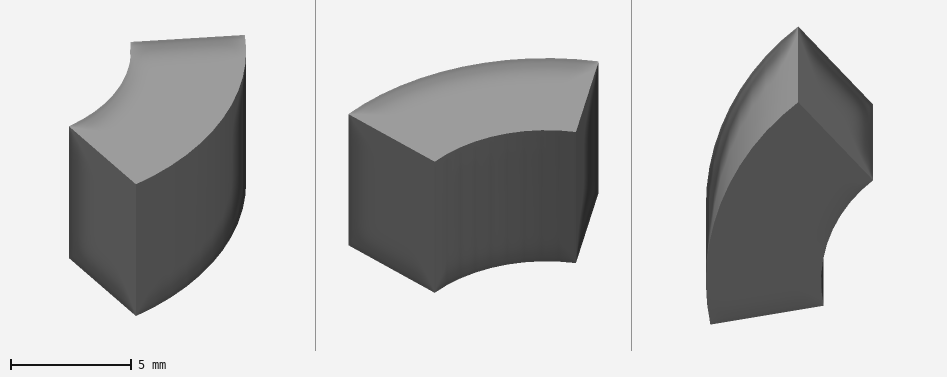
import cadquery as cq
import math

outer_radius = 11.0
inner_radius = 6.2
height = 7.0
segment_angle = 60.0


def ring_point(radius, angle):
    """Point on a circle about the ring axis, angle in degrees from +X."""
    return (
        radius * math.cos(math.radians(angle)),
        radius * math.sin(math.radians(angle)),
    )


half_angle = segment_angle / 2

result = (
    cq.Workplane("XY")
    .moveTo(*ring_point(inner_radius, -half_angle))
    .lineTo(*ring_point(outer_radius, -half_angle))
    .threePointArc((outer_radius, 0), ring_point(outer_radius, half_angle))
    .lineTo(*ring_point(inner_radius, half_angle))
    .threePointArc((inner_radius, 0), ring_point(inner_radius, -half_angle))
    .close()
    .extrude(height)
)